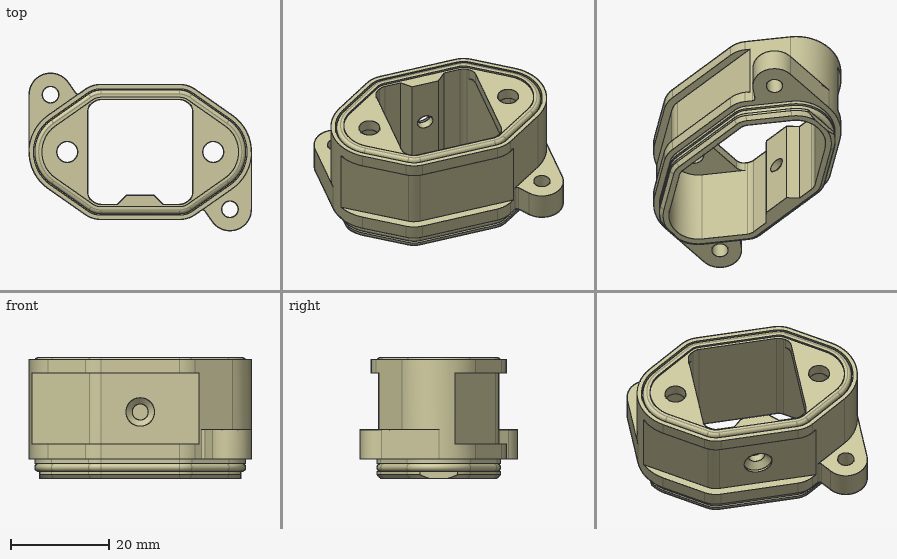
import cadquery as cq
import math

LENGTH = 45.4
WIDTH = 32.2
HALF_WIDTH = 13.8
END_RADIUS = 9.13
CORNER_RADIUS = 5.55
SLANT = math.radians(35)
SLANT_NORMAL = (math.sin(SLANT), math.cos(SLANT))

END_X = LENGTH / 2 - END_RADIUS
CORNER_Y = HALF_WIDTH - CORNER_RADIUS
SLANT_DISTANCE = END_X * SLANT_NORMAL[0] + END_RADIUS
CORNER_X = (SLANT_DISTANCE - CORNER_RADIUS - CORNER_Y * SLANT_NORMAL[1]) / SLANT_NORMAL[0]

SHOULDER_Z = 3.95
TOP_Z = 24.3
LUG_TOP_Z = 10.0
RECESS_BOTTOM_Z = 7.1
RECESS_TOP_Z = 21.5

SEAL_HEIGHT = 1.6
SEAL_ROUND = SEAL_HEIGHT / 2
SEAL_INSET = 1.2
GROOVE_FLOOR_INSET = 2.65
LOWER_SEAL_Z = 1.45
UPPER_SEAL_RISE = 0.4
UPPER_SEAL_Z = TOP_Z + UPPER_SEAL_RISE - SEAL_HEIGHT
TOP_GROOVE_INSET = 0.9

PLUG_INSET = SEAL_INSET
PLUG_CHAMFER = 0.75
PLUG_FLAT_X = 20.5

CAVITY_INSET = 3.15
PLATE_THICKNESS = 2.55
WINDOW_LENGTH = 21.35
WINDOW_CORNER_RADIUS = 2.0
SCREW_X = 14.9
SCREW_DIAMETER = 4.2

RECESS_DEPTH = 1.55
BOSS_TIP_Y = -8.8
BOSS_TIP_HALF_WIDTH = 2.8
SIDE_HOLE_Z = 13.57
SIDE_HOLE_DIAMETER = 3.25
SINK_DIAMETER = 5.8
SINK_STRAIGHT_DEPTH = 0.5

LUG_RADIUS = 4.4
LUG_Y = WIDTH / 2 - LUG_RADIUS
LUG_X = LENGTH / 2 - LUG_RADIUS
LUG_HOLE_DIAMETER = 3.3
LUG_FILLET = 0.5


def outline(inset, z):
    """Closed eight-sided outline with rounded corners, parallel to the body outline."""
    corner = CORNER_RADIUS - inset
    end = END_RADIUS - inset
    flat_y = CORNER_Y + corner
    half_angle = SLANT / 2
    mid_x = CORNER_X + corner * math.sin(half_angle)
    mid_y = CORNER_Y + corner * math.cos(half_angle)
    corner_end_x = CORNER_X + corner * SLANT_NORMAL[0]
    corner_end_y = CORNER_Y + corner * SLANT_NORMAL[1]
    arc_x = END_X + end * SLANT_NORMAL[0]
    arc_y = end * SLANT_NORMAL[1]
    tip_x = END_X + end
    return (
        cq.Workplane("XY", origin=(0, 0, z))
        .moveTo(-CORNER_X, flat_y)
        .lineTo(CORNER_X, flat_y)
        .threePointArc((mid_x, mid_y), (corner_end_x, corner_end_y))
        .lineTo(arc_x, arc_y)
        .threePointArc((tip_x, 0), (arc_x, -arc_y))
        .lineTo(corner_end_x, -corner_end_y)
        .threePointArc((mid_x, -mid_y), (CORNER_X, -flat_y))
        .lineTo(-CORNER_X, -flat_y)
        .threePointArc((-mid_x, -mid_y), (-corner_end_x, -corner_end_y))
        .lineTo(-arc_x, -arc_y)
        .threePointArc((-tip_x, 0), (-arc_x, arc_y))
        .lineTo(-corner_end_x, corner_end_y)
        .threePointArc((-mid_x, mid_y), (-CORNER_X, flat_y))
        .close()
    )


def slab(inset, bottom, top):
    """Solid with the outline as its section, between two heights."""
    return outline(inset, bottom).extrude(top - bottom)


def half_turn(shape):
    """Copy of a shape turned by 180 degrees about Z."""
    return shape.rotate((0, 0, 0), (0, 0, 1), 180)


def make_plug():
    """Stepped plug with a chamfered, flattened rim and a groove around it for the lower seal."""
    rim = slab(PLUG_INSET, 0, LOWER_SEAL_Z).faces("<Z").chamfer(PLUG_CHAMFER)
    flats = cq.Workplane("XY").box(2 * PLUG_FLAT_X, LENGTH, LENGTH)
    groove_top = LOWER_SEAL_Z + SEAL_HEIGHT
    neck = slab(GROOVE_FLOOR_INSET, LOWER_SEAL_Z, groove_top)
    collar = slab(PLUG_INSET, groove_top, SHOULDER_Z)
    return rim.intersect(flats).union(neck).union(collar)


def make_recess_cutter():
    """Cutter for the recess over the front side and the slanted side towards -X."""
    corner = CORNER_RADIUS - RECESS_DEPTH
    floor_y = -(HALF_WIDTH - RECESS_DEPTH)
    half_angle = SLANT / 2
    corner_mid = (-CORNER_X - corner * math.sin(half_angle), -CORNER_Y - corner * math.cos(half_angle))
    corner_end = (-CORNER_X - corner * SLANT_NORMAL[0], -CORNER_Y - corner * SLANT_NORMAL[1])
    run = LENGTH / 2
    slant_end = (corner_end[0] - run * SLANT_NORMAL[1], corner_end[1] + run * SLANT_NORMAL[0])
    return (
        cq.Workplane("XY", origin=(0, 0, RECESS_BOTTOM_Z))
        .moveTo(LENGTH / 2, floor_y)
        .lineTo(-CORNER_X, floor_y)
        .threePointArc(corner_mid, corner_end)
        .lineTo(*slant_end)
        .lineTo(slant_end[0], -LENGTH / 2)
        .lineTo(LENGTH / 2, -LENGTH / 2)
        .close()
        .extrude(RECESS_TOP_Z - RECESS_BOTTOM_Z)
    )


def make_lug():
    """Lug at the +X, -Y corner, straight to the end arc and square to the slanted side."""
    flank_start = (LUG_X - LUG_RADIUS * SLANT_NORMAL[1], -LUG_Y - LUG_RADIUS * SLANT_NORMAL[0])
    mid_angle = (math.pi / 2 - SLANT) / 2
    arc_mid = (LUG_X + LUG_RADIUS * math.sin(mid_angle), -LUG_Y - LUG_RADIUS * math.cos(mid_angle))
    flank_run = LUG_RADIUS
    flank_end = (
        flank_start[0] - flank_run * SLANT_NORMAL[0],
        flank_start[1] + flank_run * SLANT_NORMAL[1],
    )
    return (
        cq.Workplane("XY", origin=(0, 0, SHOULDER_Z))
        .moveTo(LENGTH / 2, 0)
        .lineTo(LENGTH / 2, -LUG_Y)
        .threePointArc(arc_mid, flank_start)
        .lineTo(*flank_end)
        .lineTo(END_X, 0)
        .close()
        .extrude(LUG_TOP_Z - SHOULDER_Z)
    )


def make_outer_body():
    """Main block with both side recesses and both filleted, drilled lugs."""
    body = slab(0, SHOULDER_Z, TOP_Z)
    recess = make_recess_cutter()
    body = body.cut(recess).cut(half_turn(recess))

    lug = make_lug()
    body = body.union(lug).union(half_turn(lug))
    lug_centre_distance = LUG_X * SLANT_NORMAL[0] + LUG_Y * SLANT_NORMAL[1]
    root_shift = lug_centre_distance - SLANT_DISTANCE
    root_x = LUG_X - LUG_RADIUS * SLANT_NORMAL[1] - root_shift * SLANT_NORMAL[0]
    root_y = LUG_Y + LUG_RADIUS * SLANT_NORMAL[0] - root_shift * SLANT_NORMAL[1]
    root_z = (SHOULDER_Z + LUG_TOP_Z) / 2
    for side in (1, -1):
        root = cq.selectors.NearestToPointSelector((side * root_x, -side * root_y, root_z))
        body = body.edges("|Z").edges(root).fillet(LUG_FILLET)

    lug_holes = (
        cq.Workplane("XY")
        .pushPoints([(LUG_X, -LUG_Y), (-LUG_X, LUG_Y)])
        .circle(LUG_HOLE_DIAMETER / 2)
        .extrude(LUG_TOP_Z)
    )
    return body.cut(lug_holes)


def make_interior():
    """Cavity open at the bottom, with the window and screw holes through the top plate."""
    cavity = slab(CAVITY_INSET, 0, TOP_Z - PLATE_THICKNESS)
    window_limit = cq.Workplane("XY").box(WINDOW_LENGTH, LENGTH, 2 * LENGTH)
    window = slab(CAVITY_INSET, 0, TOP_Z).intersect(window_limit)
    window = window.edges("|Z and (<X or >X)").fillet(WINDOW_CORNER_RADIUS)
    screw_holes = (
        cq.Workplane("XY")
        .pushPoints([(-SCREW_X, 0), (SCREW_X, 0)])
        .circle(SCREW_DIAMETER / 2)
        .extrude(TOP_Z)
    )
    return cavity.union(window).union(screw_holes)


def make_boss():
    """Boss with 45 degree flanks on the inside of the front wall, over its full height."""
    wall_y = -HALF_WIDTH + CAVITY_INSET
    root_half_width = BOSS_TIP_HALF_WIDTH + BOSS_TIP_Y - wall_y
    return (
        cq.Workplane("XY")
        .polyline([
            (-root_half_width, wall_y),
            (-BOSS_TIP_HALF_WIDTH, BOSS_TIP_Y),
            (BOSS_TIP_HALF_WIDTH, BOSS_TIP_Y),
            (root_half_width, wall_y),
        ])
        .close()
        .extrude(TOP_Z)
    )


def make_side_hole():
    """Hole through the front wall and boss, with a 45 degree sink below a short straight mouth."""
    mouth_y = -HALF_WIDTH + RECESS_DEPTH
    cone_y = mouth_y + SINK_STRAIGHT_DEPTH
    sink_radius = SINK_DIAMETER / 2
    hole_radius = SIDE_HOLE_DIAMETER / 2
    return (
        cq.Workplane("XY")
        .moveTo(0, mouth_y)
        .lineTo(sink_radius, mouth_y)
        .lineTo(sink_radius, cone_y)
        .lineTo(hole_radius, cone_y + sink_radius - hole_radius)
        .lineTo(hole_radius, BOSS_TIP_Y)
        .lineTo(0, BOSS_TIP_Y)
        .close()
        .revolve(360, (0, 0, 0), (0, 1, 0))
        .translate((0, 0, SIDE_HOLE_Z))
    )


def make_top_groove():
    """Groove in the top face that holds the upper seal."""
    ring = slab(TOP_GROOVE_INSET, UPPER_SEAL_Z, TOP_Z)
    return ring.cut(slab(GROOVE_FLOOR_INSET, UPPER_SEAL_Z, TOP_Z))


def make_housing():
    """Complete housing with plug, lugs, interior and seal grooves."""
    housing = make_outer_body().union(make_plug())
    housing = housing.cut(make_interior()).union(make_boss())
    return housing.cut(make_side_hole()).cut(make_top_groove())


def make_seal(bottom):
    """Endless seal swept around the outline; flat side inwards, half-round side outwards."""
    crest_y = HALF_WIDTH - SEAL_INSET
    flat_y = HALF_WIDTH - GROOVE_FLOOR_INSET
    round_y = crest_y - SEAL_ROUND
    section = (
        cq.Workplane("YZ", origin=(-CORNER_X, 0, bottom))
        .moveTo(flat_y, 0)
        .lineTo(round_y, 0)
        .threePointArc((crest_y, SEAL_ROUND), (round_y, SEAL_HEIGHT))
        .lineTo(flat_y, SEAL_HEIGHT)
        .close()
    )
    return section.sweep(outline(GROOVE_FLOOR_INSET, bottom))


housing = make_housing()
seals = [make_seal(bottom) for bottom in (LOWER_SEAL_Z, UPPER_SEAL_Z)]

result = cq.Compound.makeCompound([housing.solids().val(), *[seal.val() for seal in seals]])